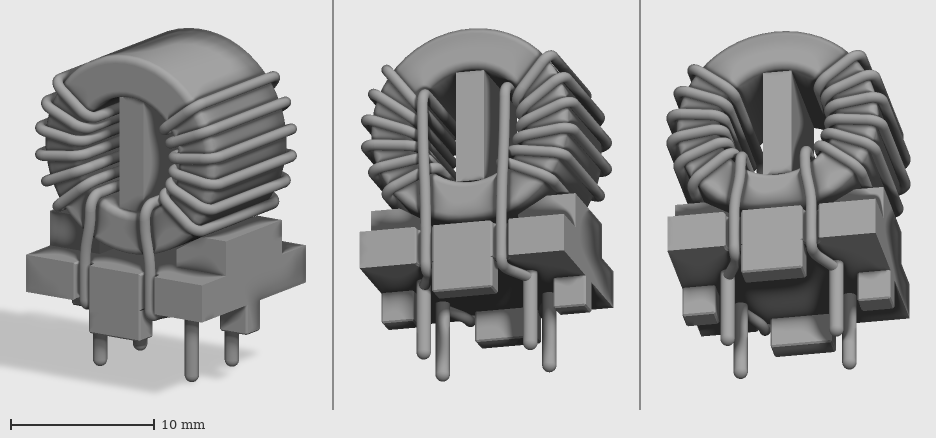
import cadquery as cq
import math


CORE_DIAMETER = 14.3
BORE_DIAMETER = 8.3
CORE_LENGTH = 9.6
CORE_FILLET = 0.5
CORE_TOP = 19.9
CORE_CENTRE_Z = CORE_TOP - CORE_DIAMETER / 2
SEPARATOR_THICKNESS = 2.01

BASE_WIDTH = 14.8
BASE_DEPTH = 13.0
PLATE_BOTTOM = 2.2
PLATE_TOP = 4.9
EDGE_CHAMFER = 0.12
CRADLE_TOP = 7.4
CRADLE_DEPTH = 6.97
CRADLE_INNER_X = 3.23
CRADLE_SLOPE_X = 5.31
CRADLE_SLOPE_ANGLE = 30
NOTCH_X = 2.74
NOTCH_RADIUS = 0.55
NOTCH_DEPTH = 0.91
END_LEG_WIDTH = 2 * (NOTCH_X - NOTCH_RADIUS)
END_LEG_DEPTH = 1.7
SIDE_LEG_WIDTH = 2.35
SIDE_LEG_DEPTH = 1.73

PIN_DIAMETER = 1.0
PIN_X = 3.85
PIN_Y = 2.5
PIN_TIP_Z = -3.5

WIRE_DIAMETER = 0.75
WIRE_OFFSET = 0.4
TURNS = 6
TURN_PITCH = 15.0
FIRST_TURN_ANGLE = 37.5
LEAD_Y = 6.05
LEAD_TOP_BEND = 1.0
LEAD_FOOT_BEND = 0.5
LEAD_TURN_Y = 4.94
LEAD_TURN_RADIUS = 2.8
SHORTEST_STRAIGHT = 0.002


def make_core():
    ring = cq.Workplane("XZ").circle(CORE_DIAMETER / 2).circle(BORE_DIAMETER / 2)
    ring = ring.extrude(CORE_LENGTH).edges().fillet(CORE_FILLET)
    return ring.translate((0, CORE_LENGTH / 2, CORE_CENTRE_Z))


def make_separator():
    """Upright plate across the bore, with flat ends whose corners touch the bore wall."""
    height = math.sqrt(BORE_DIAMETER**2 - SEPARATOR_THICKNESS**2)
    length = CORE_LENGTH - 2 * CORE_FILLET
    plate = cq.Workplane("XY").box(SEPARATOR_THICKNESS, length, height)
    return plate.translate((0, 0, CORE_CENTRE_Z))


def make_leg(width, depth, x, y):
    height = PLATE_BOTTOM
    leg = cq.Workplane("XY").box(width, depth, height, centered=(True, True, False))
    return leg.edges("|Z or <Z").chamfer(EDGE_CHAMFER).translate((x, y, 0))


def make_cradle():
    """Raised block on the -X side, sloped under the core."""
    slope_drop = (CRADLE_SLOPE_X - CRADLE_INNER_X) * math.tan(math.radians(CRADLE_SLOPE_ANGLE))
    outline = [
        (-BASE_WIDTH / 2, PLATE_TOP),
        (-BASE_WIDTH / 2, CRADLE_TOP),
        (-CRADLE_SLOPE_X, CRADLE_TOP),
        (-CRADLE_INNER_X, CRADLE_TOP - slope_drop),
        (-CRADLE_INNER_X, PLATE_TOP),
    ]
    return cq.Workplane("XZ").polyline(outline).close().extrude(CRADLE_DEPTH / 2, both=True)


def cut_notches(plate):
    """Round-ended notches for the leads in the front and back edges, with all their edges chamfered."""
    places = [(x, y) for x in (-NOTCH_X, NOTCH_X) for y in (-BASE_DEPTH / 2, BASE_DEPTH / 2)]
    notches = (
        cq.Workplane("XY", origin=(0, 0, PLATE_BOTTOM))
        .pushPoints(places)
        .slot2D(2 * NOTCH_DEPTH, 2 * NOTCH_RADIUS, 90)
        .extrude(PLATE_TOP - PLATE_BOTTOM)
    )
    plate = plate.cut(notches)
    reach = 1.1 * NOTCH_RADIUS
    left_strip, right_strip = [
        cq.selectors.BoxSelector((x - reach, -BASE_DEPTH, 0), (x + reach, BASE_DEPTH, CRADLE_TOP))
        for x in (-NOTCH_X, NOTCH_X)
    ]
    return plate.edges(left_strip + right_strip).chamfer(EDGE_CHAMFER)


def make_base():
    plate = cq.Workplane("XY").box(
        BASE_WIDTH, BASE_DEPTH, PLATE_TOP - PLATE_BOTTOM, centered=(True, True, False)
    )
    base = cut_notches(plate.translate((0, 0, PLATE_BOTTOM)))

    cradle = make_cradle()
    base = base.union(cradle).union(cradle.mirror("YZ"))
    end_leg_y = (BASE_DEPTH - END_LEG_DEPTH) / 2
    side_leg_x = (BASE_WIDTH - SIDE_LEG_WIDTH) / 2
    for side in (-1, 1):
        base = base.union(make_leg(END_LEG_WIDTH, END_LEG_DEPTH, 0, side * end_leg_y))
        base = base.union(make_leg(SIDE_LEG_WIDTH, SIDE_LEG_DEPTH, side * side_leg_x, 0))
    return base


def make_pin(x, y):
    """Pin below the plate, with a hemispherical tip."""
    length = PLATE_BOTTOM - PIN_TIP_Z
    radius = PIN_DIAMETER / 2
    shank = cq.Workplane("XY").circle(radius).extrude(length - radius)
    tip = cq.Workplane("XY").sphere(radius)
    return shank.union(tip).translate((x, y, PIN_TIP_Z + radius))


def rounded_path(corners):
    """Wire through (point, bend radius) corners, with an arc at each inner corner."""
    edges = []
    start = corners[0][0]
    for index in range(1, len(corners) - 1):
        corner, radius = corners[index]
        to_previous = (corners[index - 1][0] - corner).normalized()
        to_next = (corners[index + 1][0] - corner).normalized()
        half_angle = to_previous.getAngle(to_next) / 2
        setback = radius / math.tan(half_angle)
        to_middle = (to_previous + to_next).normalized()
        middle_distance = radius / math.sin(half_angle) - radius
        arc_start = corner + to_previous * setback
        arc_end = corner + to_next * setback
        if (arc_start - start).Length > SHORTEST_STRAIGHT:
            edges.append(cq.Edge.makeLine(start, arc_start))
        arc_middle = corner + to_middle * middle_distance
        edges.append(cq.Edge.makeThreePointArc(arc_start, arc_middle, arc_end))
        start = arc_end
    edges.append(cq.Edge.makeLine(start, corners[-1][0]))
    return cq.Wire.assembleEdges(edges)


def ring_point(radius, angle, y):
    """Point on the -X side of the core, at an angle above the horizontal."""
    turn = math.radians(angle)
    return cq.Vector(-radius * math.cos(turn), y, CORE_CENTRE_Z + radius * math.sin(turn))


def lead_corners(bore_point, side):
    """Lead from the bore down through a notch to a pin, on the -Y (-1) or +Y (1) side."""
    y = side * LEAD_Y
    top = cq.Vector(bore_point.x, y, bore_point.z)
    under_z = PLATE_BOTTOM - WIRE_OFFSET
    shift = -NOTCH_X - top.x
    start_z = top.z - LEAD_TOP_BEND
    drop = start_z - PLATE_TOP
    arc_angle = 2 * math.atan(abs(shift) / drop)
    arc_radius = drop / 2 / math.sin(arc_angle)
    setback = arc_radius * math.tan(arc_angle / 2)
    return [
        (top, LEAD_TOP_BEND),
        (cq.Vector(top.x, y, start_z - setback), arc_radius),
        (cq.Vector(-NOTCH_X, y, PLATE_TOP + setback), arc_radius),
        (cq.Vector(-NOTCH_X, y, under_z), LEAD_FOOT_BEND),
        (cq.Vector(-NOTCH_X, side * LEAD_TURN_Y, under_z), LEAD_TURN_RADIUS),
        (cq.Vector(-PIN_X, side * PIN_Y, under_z), 0),
    ]


def make_winding():
    """Winding on the -X side, from the pin at +Y to the pin at -Y, ending on the pin surfaces."""
    outer = CORE_DIAMETER / 2 + WIRE_OFFSET
    inner = BORE_DIAMETER / 2 - WIRE_OFFSET
    front = -CORE_LENGTH / 2 - WIRE_OFFSET
    bend = CORE_FILLET + WIRE_OFFSET
    last_angle = FIRST_TURN_ANGLE - TURNS * TURN_PITCH

    corners = lead_corners(ring_point(inner, FIRST_TURN_ANGLE, 0), 1)[::-1]
    for turn in range(TURNS):
        angle = FIRST_TURN_ANGLE - turn * TURN_PITCH
        corners.append((ring_point(inner, angle, front), bend))
        corners.append((ring_point(outer, angle, front), bend))
        corners.append((ring_point(outer, angle, -front), bend))
        corners.append((ring_point(inner, angle - TURN_PITCH, -front), bend))
    corners += lead_corners(ring_point(inner, last_angle, 0), -1)

    path = rounded_path(corners)
    section = cq.Workplane(cq.Plane(path.startPoint(), (0, 0, 1), path.tangentAt(0)))
    winding = section.circle(WIRE_DIAMETER / 2).sweep(cq.Workplane(path))
    for side in (-1, 1):
        winding = winding.cut(make_pin(-PIN_X, side * PIN_Y))
    return winding


core = make_core()
separator = make_separator()
base = make_base()
pins = [make_pin(x, y) for x in (-PIN_X, PIN_X) for y in (-PIN_Y, PIN_Y)]
left_winding = make_winding()
right_winding = left_winding.mirror("YZ")

result = cq.Compound.makeCompound(
    [
        core.val(),
        separator.val(),
        base.val(),
        *[pin.val() for pin in pins],
        left_winding.val(),
        right_winding.val(),
    ]
)